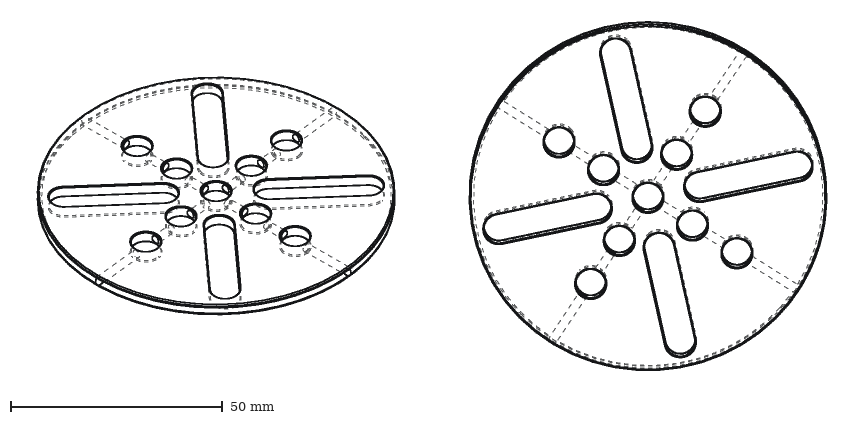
import cadquery as cq
import math

disc_diameter = 84.4
thickness = 3.1
rim_chamfer = 0.3

groove_depth = 0.9
groove_half_width = groove_depth

hole_diameter = 7.0
hole_pitch = 12.5
holes_per_arm = 2

opening_chamfer = 0.25

slot_inner_radius = hole_pitch
slot_outer_radius = 36.0
slot_angles = (45, 135, 225, 315)

bore_diameter = 2.0

seam_angle = 45

disc_radius = disc_diameter / 2
half_thickness = thickness / 2


def make_disc():
    """Revolve the half section of the grooved disc, centred on the origin."""
    face_radius = disc_radius - rim_chamfer
    land_height = half_thickness - rim_chamfer
    profile = (
        cq.Workplane("XZ")
        .moveTo(0, -half_thickness)
        .lineTo(face_radius, -half_thickness)
        .lineTo(disc_radius, -land_height)
        .lineTo(disc_radius, -groove_half_width)
        .lineTo(disc_radius - groove_depth, 0)
        .lineTo(disc_radius, groove_half_width)
        .lineTo(disc_radius, land_height)
        .lineTo(face_radius, half_thickness)
        .lineTo(0, half_thickness)
        .close()
    )
    disc = profile.revolve(360, (0, 0, 0), (0, 1, 0))
    return disc.rotate((0, 0, 0), (0, 0, 1), seam_angle)


def hole_centers():
    """Centre hole plus the evenly spaced holes along both axes."""
    centers = [(0, 0)]
    for step in range(1, holes_per_arm + 1):
        reach = step * hole_pitch
        centers += [(reach, 0), (-reach, 0), (0, reach), (0, -reach)]
    return centers


def slot_cutter(angle):
    """Radial slot with round ends, turned to the given angle in degrees."""
    middle_radius = (slot_inner_radius + slot_outer_radius) / 2
    overall_length = slot_outer_radius - slot_inner_radius + hole_diameter
    return (
        cq.Workplane("XY", origin=(0, 0, -half_thickness))
        .center(
            middle_radius * math.cos(math.radians(angle)),
            middle_radius * math.sin(math.radians(angle)),
        )
        .slot2D(overall_length, hole_diameter, angle)
        .extrude(thickness)
    )


def cross_bore(plane):
    """Cylinder that overshoots the disc along the normal of the given plane."""
    turned = cq.Workplane(plane).transformed(rotate=(0, 0, seam_angle))
    return turned.circle(bore_diameter / 2).extrude(disc_diameter, both=True)


plate = make_disc()
plate = plate.cut(
    cq.Workplane("XY", origin=(0, 0, -half_thickness))
    .pushPoints(hole_centers())
    .circle(hole_diameter / 2)
    .extrude(thickness)
)
for slot_angle in slot_angles:
    plate = plate.cut(slot_cutter(slot_angle))

for face_selector in (">Z", "<Z"):
    opening_edges = [
        edge
        for wire in plate.faces(face_selector).val().innerWires()
        for edge in wire.Edges()
    ]
    plate = plate.newObject(opening_edges).chamfer(opening_chamfer)

for bore_plane in ("YZ", "XZ"):
    plate = plate.cut(cross_bore(bore_plane))

result = plate